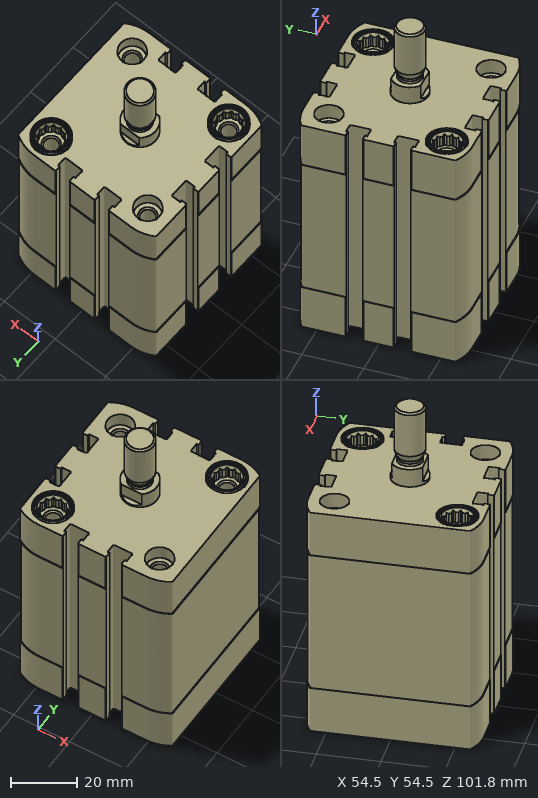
import cadquery as cq
import math

side = 54.5
housing_height = 76.8
cap_height = 15.1
barrel_inset = 0.2
corner_straight = 19.1
corner_radius = 14.9
corner_edge_fillet = 0.6

slot_offset = 7.7
slot_neck_width = 5.4
slot_cavity_width = 6.8
slot_lip = 2.0
slot_depth = 5.4
slot_corner_fillet = 0.4
cap_mouth_clearance = 0.2

hole_offset = 19.0
bore_diameter = 4.9
bore_mouth_diameter = 6.0
recess_depth = 5.0
counterbore_diameter = 9.0

rim_diameter = 12.8
groove_floor_diameter = 11.9
groove_depth = 0.6
land_outer_diameter = 11.0
land_depth = 0.2
land_inner_diameter = 10.0
socket_diameter = 8.5
socket_notch_diameter = 9.2
socket_notch_half_angle = 8.0
socket_notches = 12
socket_cone_depth = 1.4

overall_height = 101.8
collar_diameter = 12.0
collar_height = 6.1
flat_width = 9.6
flat_bottom = 1.2
flat_run_out_angle = 30.0
thread_diameter = 9.6
thread_length = 15.1
thread_chamfer = 0.6
shoulder_diameter = 8.1
neck_diameter = 7.4
neck_edge = 0.3
neck_height = 1.7


def block(inset, height):
    """Rounded-corner block whose sides lie `inset` inside the end cap outline."""
    half = side / 2 - inset
    radius = corner_radius - inset
    run = half - corner_straight
    corner_y = half - radius + math.sqrt(radius**2 - run**2)
    arc_angle = math.asin(run / radius) / 2
    middle_x = corner_straight + radius * math.sin(arc_angle)
    middle_y = half - radius + radius * math.cos(arc_angle)
    outline = (
        cq.Workplane("XY")
        .moveTo(-corner_straight, half)
        .lineTo(corner_straight, half)
        .threePointArc((middle_x, middle_y), (half, corner_y))
        .lineTo(half, -corner_y)
        .threePointArc((middle_x, -middle_y), (corner_straight, -half))
        .lineTo(-corner_straight, -half)
        .threePointArc((-middle_x, -middle_y), (-half, -corner_y))
        .lineTo(-half, corner_y)
        .threePointArc((-middle_x, middle_y), (-corner_straight, half))
        .close()
    )
    body = outline.extrude(height)
    for face_side in ("<X", ">X"):
        body = body.edges("|Z").edges(face_side).fillet(corner_edge_fillet)
    return body


def t_slot_pair():
    """Two T-slots running the full height of the +Y face."""
    half = side / 2
    slots = cq.Workplane("XY")
    for x in (-slot_offset, slot_offset):
        cavity_height = slot_depth - slot_lip
        cavity = (
            cq.Workplane("XY")
            .center(x, half - slot_lip - cavity_height / 2)
            .rect(slot_cavity_width, cavity_height)
            .extrude(housing_height)
            .edges("|Z").edges("<Y")
            .fillet(slot_corner_fillet)
        )
        neck = (
            cq.Workplane("XY")
            .center(x, half - slot_lip / 2)
            .rect(slot_neck_width, slot_lip)
            .extrude(housing_height)
        )
        mouth = (
            cq.Workplane("XY")
            .center(x, half - barrel_inset / 2)
            .rect(slot_neck_width + 2 * cap_mouth_clearance, barrel_inset)
            .extrude(housing_height)
        )
        slots = slots.add(cavity.union(neck).union(mouth))
    return slots.combine()


def revolved(points):
    """Solid of revolution about Z from (radius, height) points."""
    return cq.Workplane("XZ").polyline(points).close().revolve(360, (0, 0), (0, 1))


def through_bore():
    """Screw bore with its countersunk mouth in the floor of a recess."""
    floor = housing_height - recess_depth
    mouth = bore_mouth_diameter / 2
    bore = bore_diameter / 2
    return revolved([(0, 0), (bore, 0), (bore, floor - (mouth - bore)), (mouth, floor), (0, floor)])


def plain_hole():
    floor = housing_height - recess_depth
    counterbore = (
        cq.Workplane("XY").workplane(offset=floor)
        .circle(counterbore_diameter / 2).extrude(recess_depth)
    )
    return through_bore().union(counterbore)


def socket_hole():
    """Bore below a socket with V notches, with a shallow ring groove round its mouth."""
    top = housing_height
    land = top - land_depth
    entry = revolved([
        (0, top),
        (rim_diameter / 2, top),
        (rim_diameter / 2, top - groove_depth),
        (groove_floor_diameter / 2, top - groove_depth),
        (land_outer_diameter / 2, land),
        (land_inner_diameter / 2, land),
        (socket_diameter / 2, top - socket_cone_depth),
        (0, top - socket_cone_depth),
    ])
    notched_outline = []
    for i in range(socket_notches):
        for step, diameter in ((-1, socket_diameter), (0, socket_notch_diameter), (1, socket_diameter)):
            angle = math.radians(360 * i / socket_notches + step * socket_notch_half_angle)
            notched_outline.append((diameter / 2 * math.cos(angle), diameter / 2 * math.sin(angle)))
    cone_slope = (socket_cone_depth - land_depth) / (land_inner_diameter - socket_diameter)
    notch_top = land - cone_slope * (land_inner_diameter - socket_notch_diameter)
    floor = top - recess_depth
    socket = (
        cq.Workplane("XY").workplane(offset=floor)
        .polyline(notched_outline).close().extrude(notch_top - floor)
    )
    return through_bore().union(socket).union(entry)


def make_housing():
    body = block(barrel_inset, housing_height)
    cap = block(0, cap_height)
    for bottom in (0, housing_height - cap_height):
        body = body.union(cap.translate((0, 0, bottom)))
    slots = t_slot_pair()
    for angle in (0, 90, 180):
        body = body.cut(slots.rotate((0, 0, 0), (0, 0, 1), angle))
    for sign in (-1, 1):
        body = body.cut(socket_hole().translate((sign * hole_offset, sign * hole_offset, 0)))
        body = body.cut(plain_hole().translate((sign * hole_offset, -sign * hole_offset, 0)))
    return body


def make_rod():
    collar_top = housing_height + collar_height
    taper_bottom = collar_top + neck_height
    thread_bottom = overall_height - thread_length
    rod = revolved([
        (0, housing_height),
        (collar_diameter / 2, housing_height),
        (collar_diameter / 2, collar_top),
        (shoulder_diameter / 2, collar_top),
        (neck_diameter / 2, collar_top + 2 * neck_edge),
        (neck_diameter / 2, taper_bottom - neck_edge),
        (shoulder_diameter / 2, taper_bottom),
        (thread_diameter / 2, thread_bottom),
        (thread_diameter / 2, overall_height - thread_chamfer),
        (thread_diameter / 2 - thread_chamfer, overall_height),
        (0, overall_height),
    ])
    flat = flat_width / 2
    outside = collar_diameter / 2
    ledge_top = housing_height + flat_bottom
    ledge_outer = ledge_top - (outside - flat) * math.tan(math.radians(flat_run_out_angle))
    for sign in (-1, 1):
        cutter = (
            cq.Workplane("YZ")
            .polyline([
                (sign * flat, ledge_top),
                (sign * outside, ledge_outer),
                (sign * outside, collar_top),
                (sign * flat, collar_top),
            ])
            .close()
            .extrude(collar_diameter / 2, both=True)
        )
        rod = rod.cut(cutter)
    return rod


housing = make_housing()
rod = make_rod()
result = cq.Compound.makeCompound([housing.val(), rod.val()])